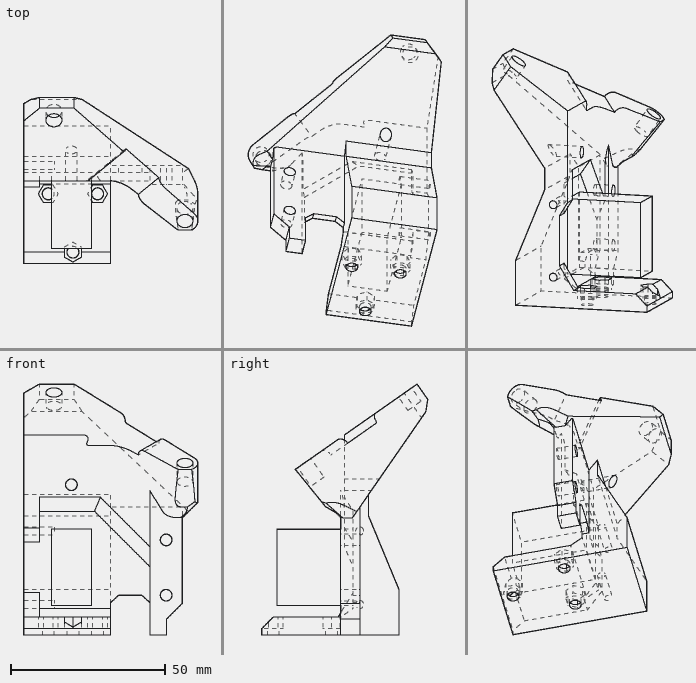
import cadquery as cq
import math


tilt = 35.0
face_z = 64.97
face_length = 28.77
end_depth = 6.1
end_chamfer = 2.8
end_chamfer_depth = 9.0
corner_cut = 5.1
head_top_right = 16.4
back_angle = 55.3

boss_radius = 4.2
left_screw = (9.84, 24.0)
right_screw = (52.35, -15.9)
screw_hole_diameter = 5.2
left_screw_depth = 5.3
right_screw_depth = 7.4
tip_offset = 3.6
tip_angle = 51.0
arm_side_angle = 43.5
underside_z = 38.1
underside_angle = 30.0
underside_round = 4.2
arm_root_round = 6.5
bevel_point = (52.6, -6.0, 41.3)
bevel_rise_x = 0.42
bevel_rise_y = -0.51
wall_overlap = 1.0
strip_foot = 25.0

groove_angle = 45.0
groove_start = 13.55
groove_end = 34.3
groove_depth = 2.8
groove_edge_round = 2.0

base_width = 28.2
wall_back = 7.87
wall_waist_z = 38.6
heel_y = 17.76
heel_z = 14.73
panel_back = 5.0
column_left = 41.0
column_right = 51.5
column_front = -1.2
column_foot_right = 46.4
column_foot_z = 5.2
column_top_left = 47.0
column_top_right = 41.0
base_front = -26.87
base_height = 5.9
toe_height = 2.1
overhang_z = 38.05

recess_floor = 2.8
recess_slope = 58.5
recess_left = 5.1
recess_top = 44.75
recess_corner = 24.9
notch_top = 30.25
notch_bottom = 13.8
ramp_front = -1.08
ramp_top = 8.7
window_z = 12.9
window_bevel = 2.65
window_bevel_angle = 42.0
wall_toe_y = recess_floor - (notch_bottom - base_height) / math.tan(math.radians(recess_slope))

wall_hole_diameter = 3.7
wall_holes = [(15.5, 48.8), (46.25, 30.9), (46.25, 12.95)]
side_hole_diameter = 2.6
side_hole_depth = 10.0
side_hole_y = 4.95
side_hole_heights = [9.95, 33.8]
base_hole_diameter = 3.8
nut_flats = 5.6
nut_floor = 2.2
nut_height = base_height - nut_floor
nut_center_x = 16.0
rear_nut_spacing = 16.0
rear_nut_y = -4.2
front_nut_y = -23.1

block_width = 13.0
block_left = 9.0
block_bottom = 9.6
block_height = 24.8
block_front = -21.95

far = 100.0


def sin(angle):
    return math.sin(math.radians(angle))


def cos(angle):
    return math.cos(math.radians(angle))


def tan(angle):
    return math.tan(math.radians(angle))


def slope_point(up, depth):
    """Y and Z of a place given by its distance up the mounting face and depth below it."""
    return (up * cos(tilt) + depth * sin(tilt), face_z + up * sin(tilt) - depth * cos(tilt))


def face_plane():
    """Local axes are X and up-slope, the normal points out of the mounting face."""
    return cq.Workplane(cq.Plane((0, 0, face_z), (1, 0, 0), (0, -sin(tilt), cos(tilt))))


def extrude_x(points, left, right):
    """Solid with a Y-Z outline between two X positions."""
    return cq.Workplane("YZ").workplane(offset=left).polyline(points).close().extrude(right - left)


def extrude_y(points, front, back):
    """Solid with an X-Z outline between two Y positions."""
    return cq.Workplane("XZ", origin=(0, front, 0)).polyline(points).close().extrude(front - back)


def box(x0, x1, y0, y1, z0, z1):
    return cq.Workplane("XY").box(x1 - x0, y1 - y0, z1 - z0, centered=False).translate((x0, y0, z0))


def boss_point(angle):
    return (right_screw[0] + boss_radius * cos(angle), right_screw[1] + boss_radius * sin(angle))


corner_dx = right_screw[0] - head_top_right
corner_du = right_screw[1] - face_length
slant_angle = math.degrees(
    math.atan2(corner_du, corner_dx) + math.asin(boss_radius / math.hypot(corner_dx, corner_du)))
slant_touch = 90 + slant_angle
right_edge = right_screw[0] + boss_radius

bevel_foot = slope_point(face_length - end_chamfer, end_chamfer_depth)


def back_slope_z(y):
    return bevel_foot[1] - (bevel_foot[0] - y) * tan(back_angle)


def back_slope_y(z):
    return bevel_foot[0] - (bevel_foot[1] - z) / tan(back_angle)


def make_envelope():
    """Everything below the mounting face that lies inside its outline."""
    tip_arc_end = -math.degrees(math.asin(tip_offset / boss_radius))
    tip_x, tip_up = boss_point(tip_arc_end)
    return (
        face_plane().moveTo(0, -far).lineTo(0, face_length - corner_cut)
        .lineTo(corner_cut, face_length).lineTo(head_top_right, face_length)
        .lineTo(*boss_point(slant_touch))
        .threePointArc(boss_point((slant_touch + tip_arc_end) / 2), (tip_x, tip_up))
        .lineTo(tip_x, -far).close().extrude(-far)
    )


def make_head():
    """Tilted plate behind the wall front, before it is cut to the outline."""
    profile = [
        (0, overhang_z), (0, face_z), slope_point(face_length, 0),
        slope_point(face_length, end_depth), bevel_foot, (back_slope_y(overhang_z), overhang_z),
    ]
    return extrude_x(profile, 0, right_edge)


def make_arm():
    """Arm on a strip of wall with a round at its root, before it is cut to the outline."""
    tip_up = right_screw[1] - tip_offset
    tip_y, tip_z = slope_point(tip_up, 0)
    tip_slope = tan(tip_angle)
    under_slope = tan(underside_angle)
    cross_y = (underside_z - tip_z - tip_slope * tip_y) / (under_slope - tip_slope)
    cross_z = underside_z - under_slope * cross_y
    profile = [(wall_overlap, far), (tip_y - far / tip_slope, tip_z + far), (cross_y, cross_z),
               (0, underside_z), (wall_overlap, underside_z - under_slope * wall_overlap)]

    side_touch = 270 - arm_side_angle
    side_x, side_up = boss_point(side_touch)
    side_end = (side_x - far * cos(arm_side_angle), side_up + far * sin(arm_side_angle))
    boss_bottom = boss_point(270)
    beyond_side = (
        face_plane().workplane(offset=far / 2).moveTo(*side_end).lineTo(side_x, side_up)
        .threePointArc(boss_point((side_touch + 270) / 2), boss_bottom)
        .lineTo(far, boss_bottom[1]).lineTo(far, side_end[1]).close().extrude(-2 * far)
    )
    arm = extrude_x(profile, 0, far).intersect(beyond_side)

    side_normal = cq.Vector(-sin(arm_side_angle), -cos(arm_side_angle) * cos(tilt),
                            -cos(arm_side_angle) * sin(tilt))
    under_normal = cq.Vector(0, -sin(underside_angle), -cos(underside_angle))
    lower_edge = arm.edges(cq.selectors.ParallelDirSelector(side_normal.cross(under_normal)))
    arm = lower_edge.fillet(underside_round)

    strip = box(0, far, 0, wall_overlap, strip_foot, far)
    joined = strip.union(arm)
    root = cq.selectors.BoxSelector((1, -0.01, strip_foot + 1), (far - 1, 0.01, far - 1))
    return joined.edges(root).fillet(arm_root_round)


def make_overhang_cut():
    """Clears the space right of the column, leaving a 45 degree overhang above it."""
    rise = right_edge - column_right + 1
    points = [(column_right, -1), (column_right, overhang_z),
              (column_right + rise, overhang_z + rise), (column_right + rise, -1)]
    return extrude_y(points, -far, far)


def make_underside_bevel():
    """Everything below the plane that bevels the right end of the arm's underside."""
    plane = cq.Plane(bevel_point, (1, 0, bevel_rise_x), (bevel_rise_x, bevel_rise_y, -1))
    return cq.Workplane(plane).rect(far, far).extrude(far)


def make_column():
    foot_chamfer = column_right - column_foot_right
    points = [(column_left, 0), (column_left, column_top_left), (column_right, column_top_right),
              (column_right, column_foot_z + foot_chamfer),
              (column_foot_right, column_foot_z), (column_foot_right, 0)]
    return extrude_y(points, column_front, panel_back)


def make_panel():
    """Thin wall between the base and the column, with a beveled window at its foot."""
    bevel_foot_z = window_z - window_bevel * tan(window_bevel_angle)
    points = [(base_width, column_top_left), (base_width, bevel_foot_z),
              (base_width + window_bevel, window_z), (column_left - window_bevel, window_z),
              (column_left, bevel_foot_z), (column_left, column_top_left)]
    return extrude_y(points, 0, panel_back)


def make_base():
    """Foot plate with the thick wall and heel standing on it."""
    chamfer = base_height - toe_height
    wall_toe_z = base_height - wall_toe_y * tan(recess_slope)
    waist_top = back_slope_z(wall_back)
    profile = [(base_front, 0), (base_front, toe_height), (base_front + chamfer, base_height),
               (wall_toe_y, base_height), (0, wall_toe_z), (0, waist_top),
               (wall_back, waist_top), (wall_back, wall_waist_z),
               (heel_y, heel_z), (heel_y, 0)]
    return extrude_x(profile, 0, base_width)


def make_recess():
    """Pocket in the wall front with bevels along its level and 45 degree top edges."""
    bevel_rise = recess_floor * tan(recess_slope)
    level_part = extrude_x(
        [(wall_toe_y, base_height), (ramp_front, base_height), (recess_floor, ramp_top),
         (recess_floor, recess_top - bevel_rise), (0, recess_top), (wall_toe_y, recess_top)],
        recess_left, column_left)
    corner = cq.Plane((recess_corner, 0, recess_top), (1, 0, 1), (1, 0, -1))
    below_diagonal = (
        cq.Workplane(corner)
        .polyline([(0, -wall_toe_y), (0, 0), (-bevel_rise, -recess_floor), (-far, -recess_floor),
                   (-far, -wall_toe_y)])
        .close().extrude(far, both=True)
    )
    return level_part.intersect(below_diagonal)


def make_notch():
    """Opening from the pocket through the left side, with sloped top and bottom."""
    slope_rise = (recess_floor - wall_toe_y) * tan(recess_slope)
    profile = [(recess_floor, notch_top), (recess_floor, notch_bottom),
               (wall_toe_y, base_height), (wall_toe_y, notch_top + slope_rise)]
    return extrude_x(profile, 0, recess_left)


def make_groove():
    """Cutter for the groove across the mounting face between the screw pads.

    Its upper wall is an S of two rounds; its lower wall is one round as high as the groove.
    """
    foot_round = groove_depth - groove_edge_round
    wall_at = groove_start + groove_edge_round
    floor_start = groove_start + groove_depth
    floor_end = groove_end - groove_depth
    edge_mid = (groove_start + groove_edge_round * sin(45), -groove_edge_round * (1 - cos(45)))
    foot_mid = (floor_start - foot_round * sin(45), -groove_depth + foot_round * (1 - cos(45)))
    end_mid = (groove_end - groove_depth * sin(45), -groove_depth * (1 - cos(45)))
    across = cq.Vector(cos(groove_angle), -sin(groove_angle) * cos(tilt), -sin(groove_angle) * sin(tilt))
    normal = cq.Vector(0, -sin(tilt), cos(tilt))
    section = cq.Plane((0, 0, face_z), across, across.cross(normal))
    return (
        cq.Workplane(section).moveTo(groove_start, 0)
        .threePointArc(edge_mid, (wall_at, -groove_edge_round))
        .threePointArc(foot_mid, (floor_start, -groove_depth))
        .lineTo(floor_end, -groove_depth)
        .threePointArc(end_mid, (groove_end, 0))
        .lineTo(groove_end, far).lineTo(groove_start, far).close().extrude(far, both=True)
    )


def make_wall_holes():
    """Screw holes running front to back through the wall and column."""
    return (
        cq.Workplane("XZ", origin=(0, -far / 2, 0)).pushPoints(wall_holes)
        .circle(wall_hole_diameter / 2).extrude(-far)
    )


def make_side_holes():
    centers = [(side_hole_y, height) for height in side_hole_heights]
    return cq.Workplane("YZ").pushPoints(centers).circle(side_hole_diameter / 2).extrude(side_hole_depth)


def make_pad_hole(screw, depth):
    """Blind hole square to the mounting face."""
    return face_plane().center(*screw).circle(screw_hole_diameter / 2).extrude(-depth)


def make_nut_hole(x, y, turn):
    """Through hole under a hexagonal nut pocket."""
    hole = cq.Workplane("XY").center(x, y).circle(base_hole_diameter / 2).extrude(base_height)
    pocket = (
        cq.Workplane("XY").polygon(6, nut_flats / cos(30)).extrude(nut_height)
        .rotate((0, 0, 0), (0, 0, 1), turn).translate((x, y, nut_floor))
    )
    return hole.union(pocket)


def make_bracket():
    bracket = make_head().union(make_arm()).intersect(make_envelope())
    bracket = bracket.cut(make_underside_bevel()).cut(make_overhang_cut())
    for part in (make_column(), make_panel(), make_base()):
        bracket = bracket.union(part)
    cutters = [
        make_recess(), make_notch(), make_groove(), make_wall_holes(), make_side_holes(),
        make_pad_hole(left_screw, left_screw_depth), make_pad_hole(right_screw, right_screw_depth),
        make_nut_hole(nut_center_x, front_nut_y, 30),
    ]
    for side in (-1, 1):
        cutters.append(make_nut_hole(nut_center_x + side * rear_nut_spacing / 2, rear_nut_y, 0))
    for cutter in cutters:
        bracket = bracket.cut(cutter)
    return bracket


def make_block():
    """Plain rectangular block standing on the pocket floor."""
    return box(block_left, block_left + block_width, block_front, recess_floor,
               block_bottom, block_bottom + block_height)


bracket = make_bracket()
block = make_block()
result = cq.Compound.makeCompound([bracket.solids().val(), block.val()])